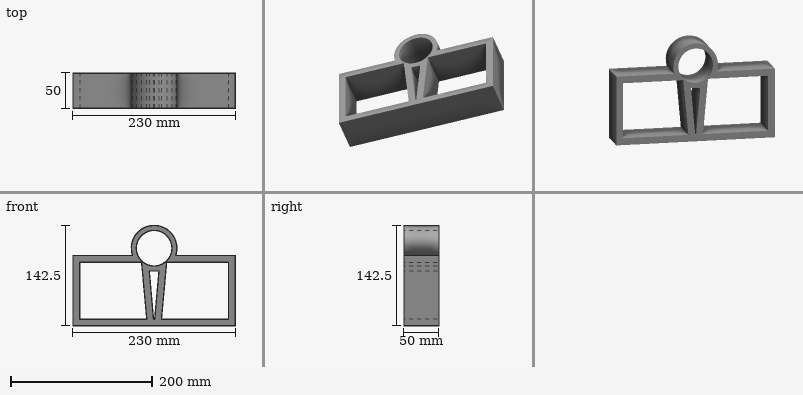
import cadquery as cq

width = 230.0
depth = 50.0
height = 142.5
frame_height = 100.0
wall = 10.0
ring_radius = 32.5
bore_radius = 25.0

post_half_top = 18.0
post_half_bottom = 10.5
slot_half_top = 6.7
slot_half_bottom = 0.7

ring_center_z = height - ring_radius
window_top = frame_height - wall
slot_top = ring_center_z - ring_radius
window_side = width / 2 - wall


def prism(points):
    """Extrude an XZ outline through the full depth, centred on Y."""
    return cq.Workplane("XZ").polyline(points).close().extrude(depth / 2, both=True)


def cylinder(radius):
    """Cylinder along Y on the ring axis, as deep as the frame."""
    plane = cq.Workplane("XZ").center(0, ring_center_z)
    return plane.circle(radius).extrude(depth / 2, both=True)


def window(side):
    """Opening between the post and one end wall; side is -1 or 1."""
    return prism([
        (side * window_side, wall),
        (side * window_side, window_top),
        (side * post_half_top, window_top),
        (side * post_half_bottom, wall),
    ])


frame = cq.Workplane("XY").box(width, depth, frame_height, centered=(True, True, False))
result = frame.union(cylinder(ring_radius))

for side in (-1, 1):
    result = result.cut(window(side))

slot = prism([
    (-slot_half_bottom, wall),
    (slot_half_bottom, wall),
    (slot_half_top, slot_top),
    (-slot_half_top, slot_top),
])
result = result.cut(slot).cut(cylinder(bore_radius))